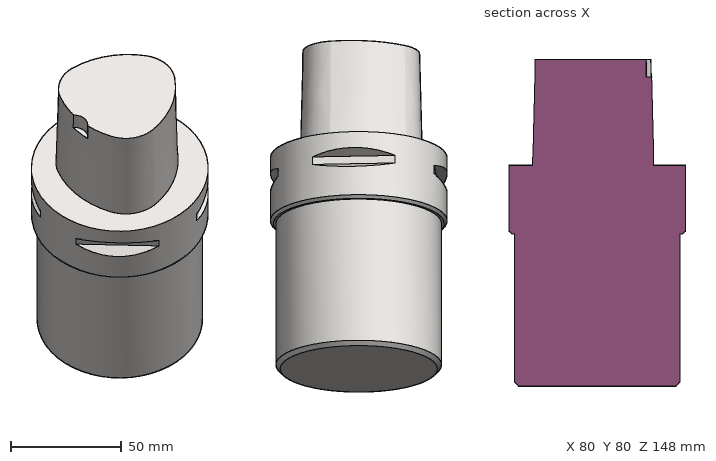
import cadquery as cq
import math

total_height = 148.0
shank_height = 48.0
flange_top = total_height - shank_height
flange_bottom = 68.8
flange_radius = 80.0 / 2
flange_chamfer = 1.3
body_radius = 75.0 / 2
body_chamfer = 1.9

lobe_reach = 29.5
side_reach = 25.8
lobe_center = 11.8
lobe_count = 3
lobe_pitch = 360 / lobe_count
first_lobe_angle = 90
taper_angle = math.degrees(math.atan(1 / 40))

groove_count = 4
first_groove_angle = 45
groove_z = 88.0
groove_floor_distance = 35.4
groove_floor_height = 3.5
groove_flank_angle = 30
groove_length = 2 * flange_radius

notch_height = 8.0
notch_inner_y = -22.2
notch_radius = 6.2


def polar(radius, angle):
    """Point in XY from a radius and an angle in degrees."""
    a = math.radians(angle)
    return (radius * math.cos(a), radius * math.sin(a))


def make_body():
    body = cq.Workplane("XY").circle(body_radius).extrude(flange_top)
    return body.faces("<Z").chamfer(body_chamfer)


def make_flange():
    flange = cq.Workplane("XY").workplane(offset=flange_bottom)
    flange = flange.circle(flange_radius).extrude(flange_top - flange_bottom)
    return flange.faces("<Z").edges().chamfer(flange_chamfer)


def make_shank():
    lobe_radius = lobe_reach - lobe_center
    reach_gap = lobe_reach - side_reach
    side_center = (2 * reach_gap * lobe_center - reach_gap**2) / (lobe_center - 2 * reach_gap)
    side_x, side_y = polar(side_center, lobe_pitch / 2)
    joint_normal = math.degrees(math.atan2(side_y, lobe_center + side_x))
    normal_x, normal_y = polar(lobe_radius, joint_normal)
    joint_radius = math.hypot(lobe_center + normal_x, normal_y)
    joint_angle = math.degrees(math.atan2(normal_y, lobe_center + normal_x))

    outline = cq.Workplane("XY").workplane(offset=flange_top)
    outline = outline.moveTo(*polar(joint_radius, first_lobe_angle - joint_angle))
    for i in range(lobe_count):
        lobe_angle = first_lobe_angle + i * lobe_pitch
        outline = outline.threePointArc(
            polar(lobe_reach, lobe_angle),
            polar(joint_radius, lobe_angle + joint_angle),
        )
        outline = outline.threePointArc(
            polar(side_reach, lobe_angle + lobe_pitch / 2),
            polar(joint_radius, lobe_angle + lobe_pitch - joint_angle),
        )
    return outline.close().extrude(shank_height, taper=taper_angle)


def make_groove(angle):
    """Straight groove with a flat floor and flanks that open outwards."""
    half_floor = groove_floor_height / 2
    depth = flange_radius - groove_floor_distance
    half_mouth = half_floor + depth * math.tan(math.radians(groove_flank_angle))
    section = cq.Workplane("XZ").polyline([
        (groove_floor_distance, groove_z - half_floor),
        (flange_radius, groove_z - half_mouth),
        (flange_radius, groove_z + half_mouth),
        (groove_floor_distance, groove_z + half_floor),
    ]).close()
    groove = section.extrude(groove_length / 2, both=True)
    return groove.rotate((0, 0, 0), (0, 0, 1), angle)


def make_notch():
    """Upright cylinder that only bites into the -Y side of the shank."""
    notch = cq.Workplane("XY").workplane(offset=total_height - notch_height)
    notch = notch.center(0, notch_inner_y - notch_radius)
    return notch.circle(notch_radius).extrude(notch_height)


result = make_body().union(make_flange()).union(make_shank())
for groove_index in range(groove_count):
    result = result.cut(make_groove(first_groove_angle + groove_index * 360 / groove_count))
result = result.cut(make_notch())